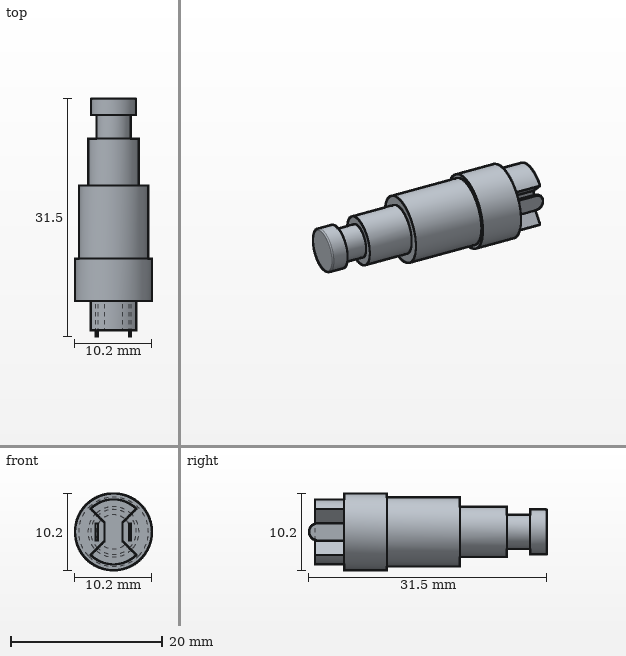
import cadquery as cq

tail_start = 0.8
collar_start = 4.65
body_start = 10.3
sleeve_start = 19.95
neck_start = 26.15
cap_start = 29.25
overall_length = 31.48

collar_diameter = 10.2
body_diameter = 9.2
sleeve_diameter = 6.7
neck_diameter = 4.55
cap_diameter = 5.98
cap_edge_radius = 0.2

tail_diameter = 8.6
waist_width = 2.33
waist_height = 2.4

pin_spacing = 4.38
pin_thickness = 0.3
pin_width = 2.27


def cylinder(diameter, start, end):
    """Cylinder on the Y axis between two stations."""
    plane = cq.Plane(origin=(0, start, 0), xDir=(1, 0, 0), normal=(0, 1, 0))
    return cq.Workplane(plane).circle(diameter / 2).extrude(end - start)


def make_barrel():
    """Stepped round barrel with a rounded cap."""
    cap = cylinder(cap_diameter, cap_start, overall_length)
    cap = cap.faces(">Y").edges().fillet(cap_edge_radius)
    return (
        cylinder(collar_diameter, collar_start, body_start)
        .union(cylinder(body_diameter, body_start, sleeve_start))
        .union(cylinder(sleeve_diameter, sleeve_start, neck_start))
        .union(cylinder(neck_diameter, neck_start, cap_start))
        .union(cap)
    )


def make_tail():
    """Round tail with a notch cut into each side, flaring outward at 45 degrees."""
    tail = cylinder(tail_diameter, tail_start, collar_start)
    inner_x = waist_width / 2
    inner_z = waist_height / 2
    outer_x = tail_diameter / 2
    outer_z = inner_z + outer_x - inner_x
    for side in (-1, 1):
        notch = (
            cq.Workplane("XZ", origin=(0, collar_start, 0))
            .moveTo(side * inner_x, -inner_z)
            .lineTo(side * outer_x, -outer_z)
            .lineTo(side * outer_x, outer_z)
            .lineTo(side * inner_x, inner_z)
            .close()
            .extrude(collar_start - tail_start)
        )
        tail = tail.cut(notch)
    return tail


def make_pin(center_x):
    """Flat pin standing on the collar face, with a fully rounded tip."""
    tip_radius = pin_width / 2
    return (
        cq.Workplane("YZ", origin=(center_x - pin_thickness / 2, 0, 0))
        .moveTo(collar_start, -tip_radius)
        .lineTo(tip_radius, -tip_radius)
        .threePointArc((0, 0), (tip_radius, tip_radius))
        .lineTo(collar_start, tip_radius)
        .close()
        .extrude(pin_thickness)
    )


result = make_barrel().union(make_tail())
for side in (-1, 1):
    result = result.union(make_pin(side * pin_spacing / 2))